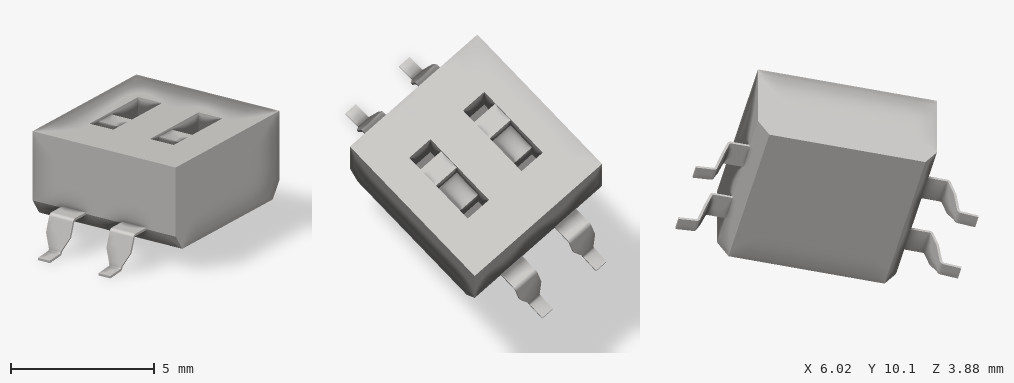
import cadquery as cq
import math


TOTAL_LENGTH = 10.11
TOTAL_HEIGHT = 3.88

BODY_WIDTH = 6.02
BODY_LENGTH = 6.4
BODY_HEIGHT = 3.18
BEVEL_INSET = 0.41
BEVEL_HEIGHT = 0.59
BODY_BOTTOM = TOTAL_HEIGHT - BODY_HEIGHT

PITCH = 2.54
POSITIONS = 2

SLOT_WIDTH = 1.0
SLOT_LENGTH = 3.0
SLOT_DEPTH = 1.5
SLIDER_LENGTH = 1.9
SLIDER_RECESS = 0.7
KNOB_LENGTH = 0.8
KNOB_RECESS = 0.1

LEAD_WIDTH = 1.0
TOE_WIDTH = 0.5
LEAD_THICKNESS = 0.09
LEAD_EMBED = 0.3
SHOULDER_END = 3.85
SHOULDER_RISE = 0.645
SHOULDER_TOP = BODY_BOTTOM + SHOULDER_RISE
LEG_ANGLE = math.radians(70)
TOE_ANGLE = math.radians(5)
BEND_RADIUS = 0.11
TAPER_TOP = BODY_BOTTOM
TAPER_HEIGHT = 0.5
TAPER_BOTTOM = TAPER_TOP - TAPER_HEIGHT


def switch_xs():
    """X positions of the switch columns, centred on the part."""
    return [(i - (POSITIONS - 1) / 2) * PITCH for i in range(POSITIONS)]


def make_body():
    """Housing block with the lower edges at its +Y and -Y ends beveled."""
    half_length = BODY_LENGTH / 2
    half_bottom = half_length - BEVEL_INSET
    bevel_top = BODY_BOTTOM + BEVEL_HEIGHT
    return (
        cq.Workplane("YZ")
        .moveTo(-half_bottom, BODY_BOTTOM)
        .lineTo(half_bottom, BODY_BOTTOM)
        .lineTo(half_length, bevel_top)
        .lineTo(half_length, TOTAL_HEIGHT)
        .lineTo(-half_length, TOTAL_HEIGHT)
        .lineTo(-half_length, bevel_top)
        .close()
        .extrude(BODY_WIDTH / 2, both=True)
    )


def make_slot(x):
    """Volume removed from the housing top for one actuator."""
    return (
        cq.Workplane("XY", origin=(x, 0, TOTAL_HEIGHT))
        .rect(SLOT_WIDTH, SLOT_LENGTH)
        .extrude(-SLOT_DEPTH)
    )


def make_slider(x):
    """Actuator rising from the slot floor, with its knob at the -Y end."""
    floor = cq.Workplane("XY", origin=(x, 0, TOTAL_HEIGHT - SLOT_DEPTH))
    knob_y = (KNOB_LENGTH - SLIDER_LENGTH) / 2
    base = floor.rect(SLOT_WIDTH, SLIDER_LENGTH).extrude(SLOT_DEPTH - SLIDER_RECESS)
    knob = floor.center(0, knob_y).rect(SLOT_WIDTH, KNOB_LENGTH).extrude(SLOT_DEPTH - KNOB_RECESS)
    return base.union(knob)


def step(point, distance, angle):
    """Point reached by moving outward from (y, z) at an angle below horizontal."""
    return (point[0] + distance * math.cos(angle), point[1] - distance * math.sin(angle))


def lead_path():
    """Middle line of the lead sheet in YZ: shoulder, bend, leg, bend, toe."""
    half_sheet = LEAD_THICKNESS / 2
    shoulder_setback = BEND_RADIUS * math.tan(LEG_ANGLE / 2)
    toe_setback = BEND_RADIUS * math.tan((LEG_ANGLE - TOE_ANGLE) / 2)

    start = (BODY_LENGTH / 2 - LEAD_EMBED, SHOULDER_TOP - half_sheet)
    tip = (
        TOTAL_LENGTH / 2 - half_sheet * math.sin(TOE_ANGLE),
        half_sheet * math.cos(TOE_ANGLE),
    )

    shoulder = (SHOULDER_END + shoulder_setback, start[1])
    run = tip[0] - shoulder[0]
    drop = shoulder[1] - tip[1]
    toe_offset = drop * math.cos(TOE_ANGLE) - run * math.sin(TOE_ANGLE)
    leg_length = toe_offset / math.sin(LEG_ANGLE - TOE_ANGLE)
    heel = step(shoulder, leg_length, LEG_ANGLE)

    return (
        cq.Workplane("YZ")
        .moveTo(*start)
        .lineTo(SHOULDER_END, start[1])
        .tangentArcPoint(step(shoulder, shoulder_setback, LEG_ANGLE), relative=False)
        .lineTo(*step(heel, -toe_setback, LEG_ANGLE))
        .tangentArcPoint(step(heel, toe_setback, TOE_ANGLE), relative=False)
        .lineTo(*tip)
    )


def lead_outline():
    """Prism along Y that trims the lead: full width above, tapering to the toe."""
    half_lead = LEAD_WIDTH / 2
    half_toe = TOE_WIDTH / 2
    return (
        cq.Workplane("XZ")
        .moveTo(-half_lead, TOTAL_HEIGHT)
        .lineTo(-half_lead, TAPER_TOP)
        .lineTo(-half_toe, TAPER_BOTTOM)
        .lineTo(-half_toe, -LEAD_THICKNESS)
        .lineTo(half_toe, -LEAD_THICKNESS)
        .lineTo(half_toe, TAPER_BOTTOM)
        .lineTo(half_lead, TAPER_TOP)
        .lineTo(half_lead, TOTAL_HEIGHT)
        .close()
        .extrude(TOTAL_LENGTH, both=True)
    )


def make_lead():
    """One gull-wing lead on the +Y side, centred on X = 0."""
    section_origin = (0, BODY_LENGTH / 2 - LEAD_EMBED, SHOULDER_TOP - LEAD_THICKNESS / 2)
    strip = (
        cq.Workplane("XZ", origin=section_origin)
        .rect(LEAD_WIDTH, LEAD_THICKNESS)
        .sweep(lead_path())
    )
    return strip.intersect(lead_outline())


result = make_body()
back_lead = make_lead()
front_lead = back_lead.mirror("XZ")
for column_x in switch_xs():
    result = result.cut(make_slot(column_x)).union(make_slider(column_x))
    for lead in (back_lead, front_lead):
        result = result.union(lead.translate((column_x, 0, 0)))